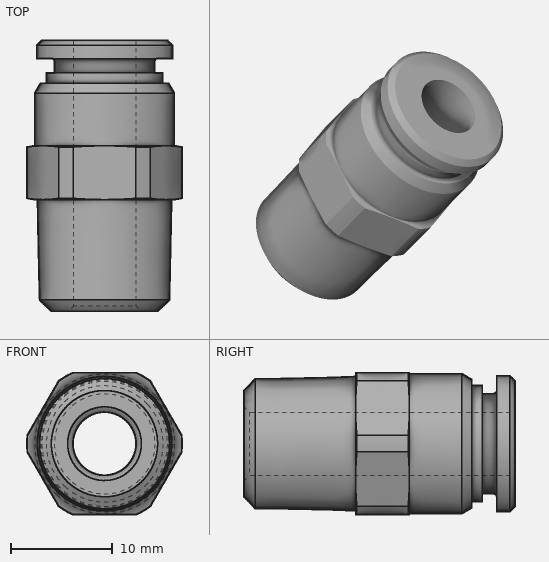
import cadquery as cq
import math

length = 26.7

nose_radius = 5.23
nose_length = 1.12
thread_small_radius = 6.4
thread_large_radius = 6.62

hex_start = 11.0
hex_end = 16.3
hex_across_flats = 14.0
hex_corner_diameter = 15.3
hex_corner_radius = hex_corner_diameter / 2
hex_chamfer = 0.12

body_radius = 6.9
body_end = 22.45
body_chamfer_length = 1.0
body_chamfer_depth = 0.6

collar_radius = 5.75
collar_end = 23.47
neck_radius = 4.95
neck_fillet = 0.3
ring_start = 24.88
ring_radius = 6.7
ring_chamfer = 0.53

bore_radius = 3.1
bore_mouth_radius = 3.63
bore_chamfer_length = bore_mouth_radius - bore_radius


def turned_body():
    """Revolve the round outer profile, drawn as (radius, Y), about the Y axis."""
    fillet_start = ring_start - neck_fillet
    fillet_mid = neck_fillet * (1 - math.sqrt(0.5))
    profile = (
        cq.Workplane("XY")
        .moveTo(0, 0)
        .lineTo(nose_radius, 0)
        .lineTo(thread_small_radius, nose_length)
        .lineTo(thread_large_radius, hex_start)
        .lineTo(body_radius, hex_start)
        .lineTo(body_radius, body_end - body_chamfer_length)
        .lineTo(body_radius - body_chamfer_depth, body_end)
        .lineTo(collar_radius, body_end)
        .lineTo(collar_radius, collar_end)
        .lineTo(neck_radius, collar_end)
        .lineTo(neck_radius, fillet_start)
        .threePointArc(
            (neck_radius + fillet_mid, ring_start - fillet_mid),
            (neck_radius + neck_fillet, ring_start),
        )
        .lineTo(ring_radius, ring_start)
        .lineTo(ring_radius, length - ring_chamfer)
        .lineTo(ring_radius - ring_chamfer, length)
        .lineTo(0, length)
        .close()
    )
    return profile.revolve(360, (0, 0, 0), (0, 1, 0))


def hex_section():
    """Hexagonal prism whose corners are turned round and chamfered at both ends."""
    across_corners = hex_across_flats / math.cos(math.pi / 6)
    prism = (
        cq.Workplane("XZ", origin=(0, hex_end, 0))
        .polygon(6, across_corners)
        .extrude(hex_end - hex_start)
    )
    flat_radius = hex_across_flats / 2
    envelope = (
        cq.Workplane("XY")
        .moveTo(0, hex_start)
        .lineTo(flat_radius, hex_start)
        .lineTo(hex_corner_radius, hex_start + hex_chamfer)
        .lineTo(hex_corner_radius, hex_end - hex_chamfer)
        .lineTo(flat_radius, hex_end)
        .lineTo(0, hex_end)
        .close()
        .revolve(360, (0, 0, 0), (0, 1, 0))
    )
    return prism.intersect(envelope)


def bore():
    """Through hole with a conical mouth at Y = 0."""
    return (
        cq.Workplane("XY")
        .moveTo(0, 0)
        .lineTo(bore_mouth_radius, 0)
        .lineTo(bore_radius, bore_chamfer_length)
        .lineTo(bore_radius, length)
        .lineTo(0, length)
        .close()
        .revolve(360, (0, 0, 0), (0, 1, 0))
    )


result = turned_body().union(hex_section()).cut(bore())